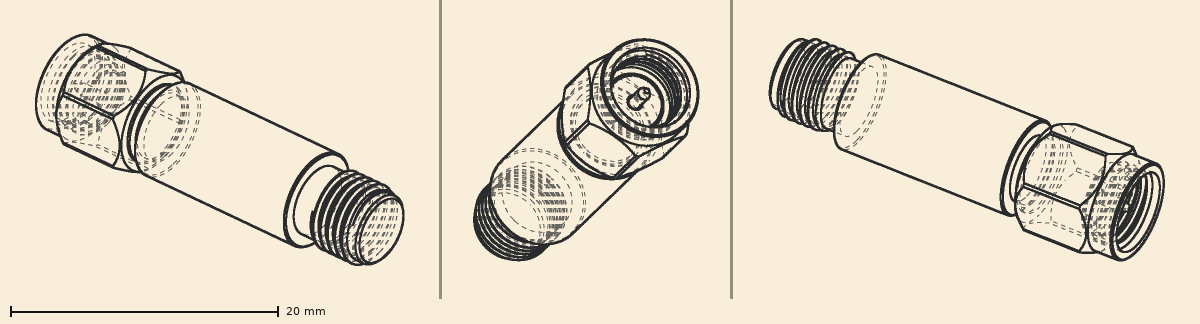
import cadquery as cq

LENGTH = 30.48
TINY_CHAMFER = 0.12

COLLAR_DIAMETER = 7.77
COLLAR_LENGTH = 2.07
HEX_FLATS = 7.92
HEX_CORNER_DIAMETER = 9.0
HEX_FRONT_CHAMFER = 0.7
HEX_REAR_CHAMFER = 0.75
HEX_END = 8.4
RIM_DIAMETER = 6.35
RIM_END = 8.93
RIM_CHAMFER = 0.3

FRONT_NECK_DIAMETER = 5.3
BODY_DIAMETER = 7.62
BODY_START = 9.57
BODY_END = 24.25
REAR_NECK_DIAMETER = 5.58
REAR_CHAMFER = 0.2

THREAD_MAJOR_DIAMETER = 6.35
THREAD_MINOR_DIAMETER = REAR_NECK_DIAMETER
THREAD_PITCH = 0.7
OUTER_RIDGE_WIDTH = 0.5
THREAD_CREST_WIDTH = 0.1
THREAD_OVERLAP = 0.1
THREAD_FADE = 0.37
OUTER_THREAD_START = 25.9
OUTER_THREAD_END = 29.7
FIRST_OUTER_CREST = 26.27

SOCKET_DEPTH = 3.25
MOUTH_DIAMETER = 6.35
MOUTH_DEPTH = 0.65
MOUTH_TAPER = 0.25
FIRST_INNER_GROOVE = 1.68
INNER_THREAD_END = 2.93
INNER_GROOVE_WIDTH = 0.58
INSULATOR_DIAMETER = 4.27
INSULATOR_GAP_DIAMETER = 4.57
PIN_DIAMETER = 0.95
PIN_GAP_DIAMETER = 1.2
GAP_DEPTH = 0.15
PIN_TIP = 0.73
PIN_SHOULDER = 1.35
PIN_TIP_DIAMETER = 0.4


def cylinder(diameter, start, end):
    return cq.Workplane("YZ", origin=(start, 0, 0)).circle(diameter / 2).extrude(end - start)


def revolved(profile):
    """Revolve (x, radius) points around the X axis."""
    return cq.Workplane("XY").polyline(profile).close().revolve(360, (0, 0, 0), (1, 0, 0))


def screw_ridge(first_crest, end, base_width):
    """Right-hand helical ridge, also used as a groove cutter.

    It starts one turn before first_crest, which lies on the +Z side.
    """
    minor_radius = THREAD_MINOR_DIAMETER / 2
    base_radius = minor_radius - THREAD_OVERLAP
    major_radius = THREAD_MAJOR_DIAMETER / 2
    start = first_crest - THREAD_PITCH
    helix = cq.Wire.makeHelix(THREAD_PITCH, end - start, minor_radius)
    ridge = (
        cq.Workplane("XZ")
        .polyline([
            (base_radius, -base_width / 2),
            (major_radius, -THREAD_CREST_WIDTH / 2),
            (major_radius, THREAD_CREST_WIDTH / 2),
            (base_radius, base_width / 2),
        ])
        .close()
        .sweep(cq.Workplane(obj=helix), isFrenet=True)
    )
    upright = ridge.rotate((0, 0, 0), (0, 0, 1), 180)
    return upright.rotate((0, 0, 0), (0, 1, 0), 90).translate((start, 0, 0))


def hex_nut():
    across_corners = HEX_FLATS / (3 ** 0.5 / 2)
    prism = (
        cq.Workplane("YZ", origin=(COLLAR_LENGTH, 0, 0))
        .polygon(6, across_corners)
        .extrude(HEX_END - COLLAR_LENGTH)
        .rotate((0, 0, 0), (1, 0, 0), 90)
    )
    face_radius = COLLAR_DIAMETER / 2
    corner_radius = HEX_CORNER_DIAMETER / 2
    envelope = revolved([
        (COLLAR_LENGTH, 0),
        (COLLAR_LENGTH, face_radius),
        (COLLAR_LENGTH + HEX_FRONT_CHAMFER, corner_radius),
        (HEX_END - HEX_REAR_CHAMFER, corner_radius),
        (HEX_END, face_radius),
        (HEX_END, 0),
    ])
    return prism.intersect(envelope)


def shell():
    collar = cylinder(COLLAR_DIAMETER, 0, COLLAR_LENGTH).faces("<X").chamfer(TINY_CHAMFER)
    rim = cylinder(RIM_DIAMETER, HEX_END, RIM_END).faces(">X").chamfer(RIM_CHAMFER)
    front_neck = cylinder(FRONT_NECK_DIAMETER, RIM_END, BODY_START)
    body = cylinder(BODY_DIAMETER, BODY_START, BODY_END).faces("<X or >X").chamfer(TINY_CHAMFER)
    rear_neck = cylinder(REAR_NECK_DIAMETER, BODY_END, LENGTH).faces(">X").chamfer(REAR_CHAMFER)
    solid = collar
    for section in (hex_nut(), rim, front_neck, body, rear_neck):
        solid = solid.union(section)
    return solid


def outer_thread():
    minor_radius = THREAD_MINOR_DIAMETER / 2
    clear_radius = THREAD_MAJOR_DIAMETER / 2 + THREAD_OVERLAP
    envelope = revolved([
        (OUTER_THREAD_START, 0),
        (OUTER_THREAD_START, minor_radius),
        (OUTER_THREAD_START + THREAD_FADE, clear_radius),
        (OUTER_THREAD_END - THREAD_FADE, clear_radius),
        (OUTER_THREAD_END, minor_radius),
        (OUTER_THREAD_END, 0),
    ])
    ridge = screw_ridge(FIRST_OUTER_CREST, OUTER_THREAD_END + THREAD_PITCH, OUTER_RIDGE_WIDTH)
    return ridge.intersect(envelope)


def socket():
    mouth = revolved([
        (0, 0),
        (0, MOUTH_DIAMETER / 2),
        (MOUTH_DEPTH, MOUTH_DIAMETER / 2),
        (MOUTH_DEPTH + MOUTH_TAPER, THREAD_MINOR_DIAMETER / 2),
        (MOUTH_DEPTH + MOUTH_TAPER, 0),
    ])
    bore = cylinder(THREAD_MINOR_DIAMETER, 0, SOCKET_DEPTH)
    return bore.union(mouth)


def inner_thread():
    return screw_ridge(FIRST_INNER_GROOVE, INNER_THREAD_END, INNER_GROOVE_WIDTH)


def floor_gap(outer_diameter, inner_diameter):
    floor_end = SOCKET_DEPTH + GAP_DEPTH
    outer = cylinder(outer_diameter, SOCKET_DEPTH, floor_end)
    return outer.cut(cylinder(inner_diameter, SOCKET_DEPTH, floor_end))


def centre_pin():
    return revolved([
        (PIN_TIP, 0),
        (PIN_TIP, PIN_TIP_DIAMETER / 2),
        (PIN_SHOULDER, PIN_DIAMETER / 2),
        (SOCKET_DEPTH + GAP_DEPTH, PIN_DIAMETER / 2),
        (SOCKET_DEPTH + GAP_DEPTH, 0),
    ])


result = (
    shell()
    .union(outer_thread())
    .cut(socket())
    .cut(inner_thread())
    .cut(floor_gap(INSULATOR_GAP_DIAMETER, INSULATOR_DIAMETER))
    .cut(floor_gap(PIN_GAP_DIAMETER, PIN_DIAMETER))
    .union(centre_pin())
)